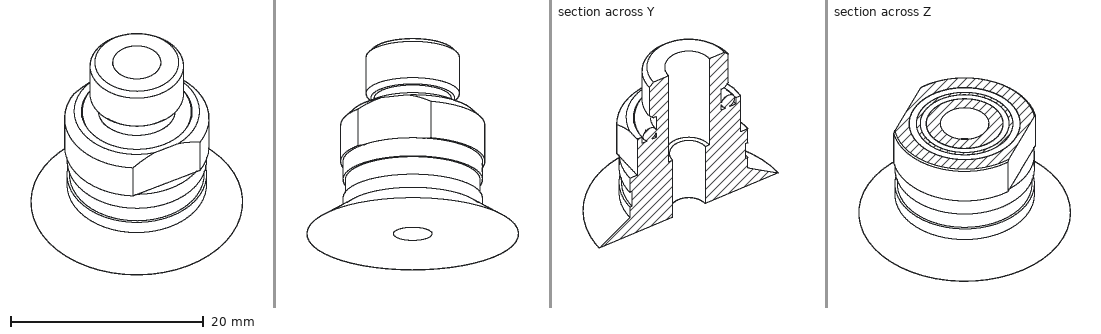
import cadquery as cq

cup_top = 2.5
lower_collar_top = 3.95
waist_top = 5.98
body_base = 7.99
body_top = 13.0
thread_base = 14.98
total_height = 20.0

rim_diameter = 22.0
collar_diameter = 14.5
waist_diameter = 14.0
body_diameter = 15.0
neck_diameter = 8.0
thread_diameter = 9.72
bore_diameter = 5.0
passage_diameter = 4.0

flat_width = 12.72
body_chamfer = 1.0
thread_chamfer = 0.5

ring_radius = 0.84
ring_squeeze = 0.02
ring_center_radius = neck_diameter / 2 + ring_radius - ring_squeeze
ring_center_height = body_top - 0.05
recess_diameter = 11.5
recess_floor = ring_center_height - ring_radius + ring_squeeze


def cylinder(diameter, bottom, top):
    """Upright cylinder between two heights."""
    return cq.Workplane("XY").workplane(offset=bottom).circle(diameter / 2).extrude(top - bottom)


def make_cup():
    """Flared cup, narrowing from the rim to the collar."""
    profile = [
        (0, 0),
        (rim_diameter / 2, 0),
        (collar_diameter / 2, cup_top),
        (0, cup_top),
    ]
    return cq.Workplane("XZ").polyline(profile).close().revolve(360, (0, 0), (0, 1))


def make_wrench_body():
    """Chamfered round body with two flats facing X and a ring recess on top."""
    body = cylinder(body_diameter, body_base, body_top).faces(">Z").chamfer(body_chamfer)
    flats = cq.Workplane("XY").workplane(offset=body_base).rect(flat_width, body_diameter)
    body = body.intersect(flats.extrude(body_top - body_base))
    return body.cut(cylinder(recess_diameter, recess_floor, body_top))


def make_sealing_ring():
    """Round-section ring pressed onto the neck."""
    section = cq.Workplane("XZ").center(ring_center_radius, ring_center_height).circle(ring_radius)
    return section.revolve(360, (-ring_center_radius, 0), (-ring_center_radius, 1))


def make_thread_end():
    """Plain threaded end, chamfered at both ends."""
    return cylinder(thread_diameter, thread_base, total_height).edges().chamfer(thread_chamfer)


result = (
    make_cup()
    .union(cylinder(collar_diameter, cup_top, lower_collar_top))
    .union(cylinder(waist_diameter, lower_collar_top, waist_top))
    .union(cylinder(collar_diameter, waist_top, body_base))
    .union(make_wrench_body())
    .union(cylinder(neck_diameter, body_base, thread_base))
    .union(make_sealing_ring())
    .union(make_thread_end())
)

result = result.cut(cylinder(passage_diameter, 0, total_height))
result = result.cut(cylinder(bore_diameter, body_base, total_height))